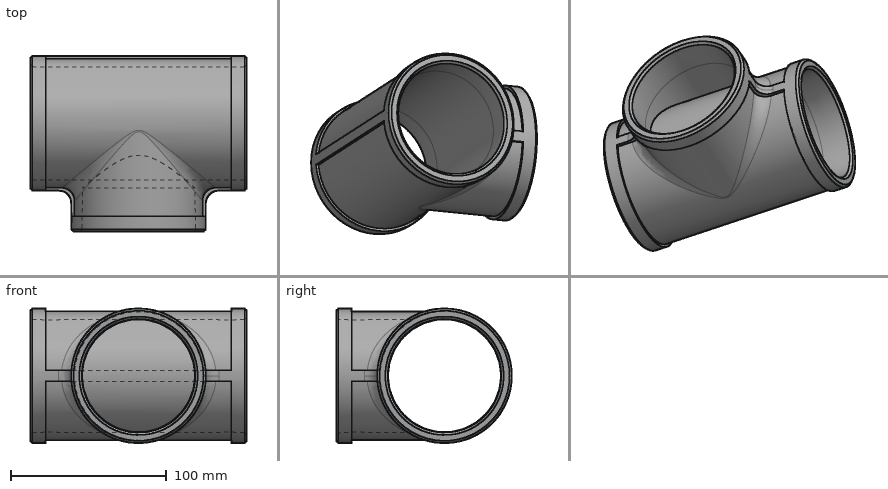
import cadquery as cq

run_length = 139.0
run_reach = run_length / 2
branch_reach = run_length / 2

collar_diameter = 86.5
collar_width = 10.0
collar_chamfer = 1.5
run_diameter = 83.0
branch_diameter = 82.4
crotch_radius = 8.3

rib_thickness = 7.0
rib_fillet = 8.3

mouth_diameter = 76.0
lead_in_diameter = 72.8
lead_in_depth = 1.5
bore_diameter = 72.3
socket_depth = 20.0

collar_radius = collar_diameter / 2
bore_radius = bore_diameter / 2

left_end = cq.Plane(origin=(-run_reach, 0, 0), xDir=(0, 1, 0), normal=(-1, 0, 0))
right_end = cq.Plane(origin=(run_reach, 0, 0), xDir=(0, 1, 0), normal=(1, 0, 0))
branch_end = cq.Plane(origin=(0, -branch_reach, 0), xDir=(1, 0, 0), normal=(0, -1, 0))
open_ends = (left_end, right_end, branch_end)


def revolve_at_end(end, profile):
    """Revolve (radius, depth) points about the axis of an open end, depth counted inward."""
    axial_plane = cq.Plane(origin=end.origin, xDir=end.xDir, normal=end.xDir.cross(end.zDir))
    points = [(radius, -depth) for radius, depth in profile]
    return cq.Workplane(axial_plane).polyline(points).close().revolve(360, (0, 0), (0, 1))


def make_crossing(run_size, branch_size):
    """Solid run and branch cylinders of the given diameters, joined with a sharp crotch."""
    run = cq.Workplane(left_end).circle(run_size / 2).extrude(-run_length)
    branch = cq.Workplane(branch_end).circle(branch_size / 2).extrude(-branch_reach)
    return run.union(branch)


def make_body():
    """Plain tee with a rounded crotch, its only edge that is neither straight nor circular."""
    sharp_body = make_crossing(run_diameter, branch_diameter)
    return sharp_body.edges("not(%LINE or %CIRCLE)").fillet(crotch_radius)


def make_collars_and_ribs():
    """Thick chamfered tee, trimmed down to its three end collars and a thin slice through the axes."""
    thick_tee = make_crossing(collar_diameter, collar_diameter)
    thick_tee = thick_tee.faces("<X or >X or <Y").edges().chamfer(collar_chamfer)
    kept_zone = cq.Workplane().box(run_length, 2 * branch_reach, rib_thickness)
    collar_zone_size = 1.5 * collar_diameter
    for end in open_ends:
        collar_zone = cq.Workplane(end).rect(collar_zone_size, collar_zone_size).extrude(-collar_width)
        kept_zone = kept_zone.union(collar_zone)
    trimmed = thick_tee.intersect(kept_zone)
    for side in (-1, 1):
        corner = (side * collar_radius, -collar_radius, 0)
        trimmed = trimmed.edges(cq.selectors.NearestToPointSelector(corner)).fillet(rib_fillet)
    return trimmed


def make_socket(end):
    """Cutter for the lead-in chamfer and the tapered socket of an open end."""
    return revolve_at_end(end, [
        (0, 0),
        (mouth_diameter / 2, 0),
        (lead_in_diameter / 2, lead_in_depth),
        (bore_radius, socket_depth),
        (0, socket_depth),
    ])


result = make_body().union(make_collars_and_ribs())

run_bore = cq.Workplane(left_end).circle(bore_radius).extrude(-run_length)
run_outside = cq.Workplane(left_end).circle(run_diameter / 2).extrude(-run_length)
branch_bore = cq.Workplane(branch_end).circle(bore_radius).extrude(-branch_reach).cut(run_outside)
result = result.cut(run_bore).cut(branch_bore)
for open_end in open_ends:
    result = result.cut(make_socket(open_end))